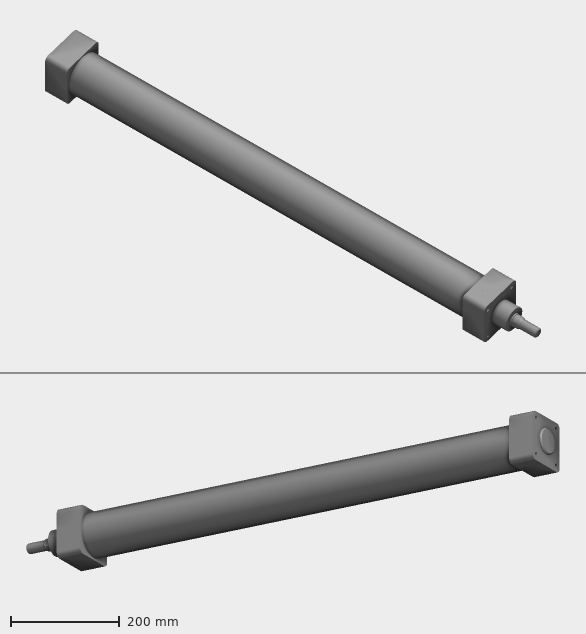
import cadquery as cq

total_length = 1116.0
head_size = 96.0
corner_radius = 10.0

boss_height = 5.0
cover_thickness = 27.0
gasket_thickness = 3.9
flange_thickness = 20.0
nose_length = 32.0
lip_length = 3.0
shank_length = 17.0
thread_length = 37.0

tube_diameter = 87.0
boss_diameter = 50.0
lip_diameter = 27.0
rod_diameter = 25.0
thread_diameter = 20.0

boss_chamfer = 2.0
flat_width = 21.0
shank_taper_length = 6.0
thread_chamfer = 2.0
screw_hole_diameter = 8.0
screw_hole_spacing = 71.0
screw_hole_depth = 17.0

rear_cover_x = boss_height
rear_gasket_x = rear_cover_x + cover_thickness
barrel_start_x = rear_gasket_x + gasket_thickness
thread_x = total_length - thread_length
shank_x = thread_x - shank_length
nose_end_x = shank_x - lip_length
nose_x = nose_end_x - nose_length
front_cover_x = nose_x - cover_thickness
front_gasket_x = front_cover_x - gasket_thickness
barrel_end_x = front_gasket_x


def disc(start_x, length, diameter):
    """Round bar along X."""
    return cq.Workplane("YZ", origin=(start_x, 0, 0)).circle(diameter / 2).extrude(length)


def square_plate(start_x, thickness):
    """Square plate across X with rounded corners."""
    plate = cq.Workplane("YZ", origin=(start_x, 0, 0)).rect(head_size, head_size).extrude(thickness)
    return plate.edges("|X").fillet(corner_radius)


def screw_holes(face_x, depth):
    """Four cutters from an outer cover face; the sign of depth gives the drilling direction."""
    return (
        cq.Workplane("YZ", origin=(face_x, 0, 0))
        .rect(screw_hole_spacing, screw_hole_spacing, forConstruction=True)
        .vertices()
        .circle(screw_hole_diameter / 2)
        .extrude(depth)
    )


def make_rear_cover():
    """Square cover with a low chamfered boss and four screw holes."""
    boss = disc(0, boss_height, boss_diameter).faces("<X").chamfer(boss_chamfer)
    cover = square_plate(rear_cover_x, cover_thickness).union(boss)
    return cover.cut(screw_holes(rear_cover_x, screw_hole_depth))


def make_front_cover():
    """Square cover with a long round nose, a rod lip and four screw holes."""
    nose = disc(nose_x, nose_length, boss_diameter)
    lip = disc(nose_end_x, lip_length, lip_diameter)
    cover = square_plate(front_cover_x, cover_thickness).union(nose).union(lip)
    return cover.cut(screw_holes(nose_x, -screw_hole_depth))


def make_barrel():
    """Round tube body with a square flange at each end."""
    barrel = disc(barrel_start_x, barrel_end_x - barrel_start_x, tube_diameter)
    for flange_x in (barrel_start_x, barrel_end_x - flange_thickness):
        barrel = barrel.union(square_plate(flange_x, flange_thickness))
    return barrel


def tapered_shank():
    """Round shank that narrows to the thread diameter at its outer end."""
    rod_radius = rod_diameter / 2
    profile = (
        cq.Workplane("XY")
        .moveTo(shank_x, 0)
        .lineTo(shank_x, rod_radius)
        .lineTo(thread_x - shank_taper_length, rod_radius)
        .lineTo(thread_x, thread_diameter / 2)
        .lineTo(thread_x, 0)
        .close()
    )
    return profile.revolve(360, (0, 0, 0), (1, 0, 0))


def make_rod():
    """Rod end standing on the lip: a shank with two wrench flats, then the thread."""
    between_flats = cq.Workplane("XY", origin=(shank_x + shank_length / 2, 0, 0)).box(
        shank_length, flat_width, rod_diameter
    )
    thread = disc(thread_x, thread_length, thread_diameter).faces(">X").chamfer(thread_chamfer)
    return tapered_shank().intersect(between_flats).union(thread)


rear_cover = make_rear_cover()
front_cover = make_front_cover()
gaskets = [square_plate(gasket_x, gasket_thickness) for gasket_x in (rear_gasket_x, front_gasket_x)]
barrel = make_barrel()
rod = make_rod()

result = cq.Compound.makeCompound(
    [
        rear_cover.val(),
        front_cover.val(),
        *[gasket.val() for gasket in gaskets],
        barrel.val(),
        rod.val(),
    ]
)